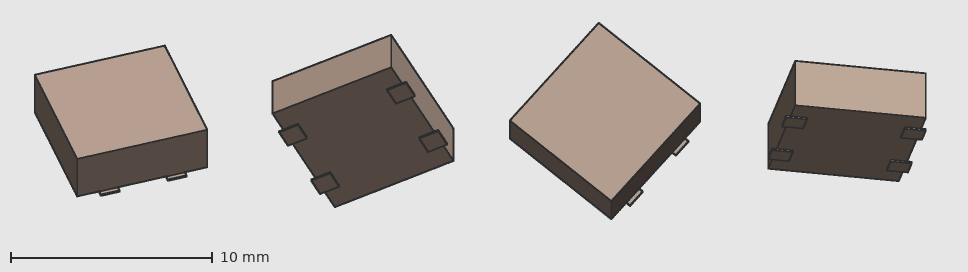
import cadquery as cq

overall_length = 7.06
overall_width = 6.8
overall_height = 2.6

terminal_length = 1.06
terminal_width = 0.975
terminal_thickness = 0.1
terminal_pitch = 3.5

housing_length = 6.6
housing_height = overall_height - terminal_thickness


def make_housing():
    """Rectangular block with its underside on the terminal tops."""
    return (
        cq.Workplane("XY")
        .workplane(offset=terminal_thickness)
        .box(housing_length, overall_width, housing_height, centered=(True, True, False))
    )


def make_terminal(x_side, y_side):
    """Flat pad in the corner given by the signs x_side and y_side."""
    x_center = x_side * (overall_length - terminal_length) / 2
    y_center = y_side * terminal_pitch / 2
    return (
        cq.Workplane("XY")
        .center(x_center, y_center)
        .box(terminal_length, terminal_width, terminal_thickness, centered=(True, True, False))
    )


housing = make_housing()
terminals = [make_terminal(x_side, y_side) for x_side in (-1, 1) for y_side in (-1, 1)]

result = cq.Compound.makeCompound([housing.val(), *[terminal.val() for terminal in terminals]])